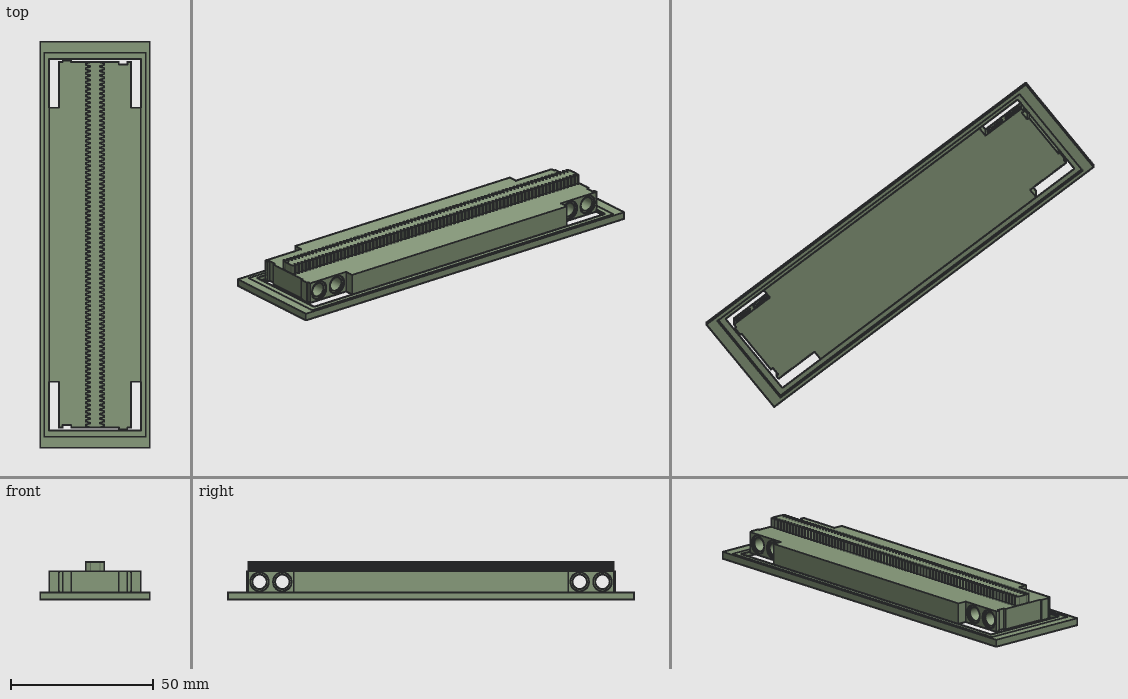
import cadquery as cq
FRAME_WIDTH = 38.4
FRAME_LENGTH = 142.2
FRAME_THICKNESS = 2.5
OPENING_WIDTH = 32.1
OPENING_LENGTH = 130.0
UNDERCUT_WIDTH = 35.7
UNDERCUT_LENGTH = 134.5
LIP_THICKNESS = 0.1

BLOCK_WIDTH = OPENING_WIDTH
BLOCK_LENGTH = 128.0
BLOCK_HEIGHT = 7.5
BLOCK_MID_HEIGHT = 6.3
BLOCK_BASE = BLOCK_MID_HEIGHT - BLOCK_HEIGHT / 2
BLOCK_TOP = BLOCK_MID_HEIGHT + BLOCK_HEIGHT / 2
MIDDLE_LENGTH = 96.0
NECK_WIDTH = 25.3

KEY_WIDTH = 3.0
KEY_OFFSET = 9.8
TAB_DEPTH = 0.5
NOTCH_DEPTH = 0.9

HOLE_DIAMETER = 5.0
COUNTERBORE_DIAMETER = 6.5
COUNTERBORE_DEPTH = 0.7
HOLE_CENTERS_FROM_END = (4.0, 12.0)

OVERALL_HEIGHT = 13.2
RACK_HEIGHT = OVERALL_HEIGHT - BLOCK_TOP
RACK_WIDTH = 6.5
RACK_CORE_WIDTH = 3.3
TOOTH_DEPTH = (RACK_WIDTH - RACK_CORE_WIDTH) / 2
TOOTH_COUNT = 81
TOOTH_PITCH = BLOCK_LENGTH / TOOTH_COUNT
TOOTH_TIP = 0.47
TOOTH_FLANK = 0.45
TOOTH_ROOT = TOOTH_PITCH - TOOTH_TIP - 2 * TOOTH_FLANK


def box(width, length, height, x=0.0, y=0.0, z=0.0):
    """Box centred on (x, y) that stands on height z."""
    return cq.Workplane("XY").box(width, length, height, centered=(True, True, False)).translate((x, y, z))


def make_frame():
    plate = box(FRAME_WIDTH, FRAME_LENGTH, FRAME_THICKNESS)
    opening = box(OPENING_WIDTH, OPENING_LENGTH, FRAME_THICKNESS)
    undercut = box(UNDERCUT_WIDTH, UNDERCUT_LENGTH, FRAME_THICKNESS - LIP_THICKNESS)
    return plate.cut(opening).cut(undercut)


def make_block_body():
    middle = box(BLOCK_WIDTH, MIDDLE_LENGTH, BLOCK_HEIGHT, z=BLOCK_BASE)
    necks = box(NECK_WIDTH, BLOCK_LENGTH, BLOCK_HEIGHT, z=BLOCK_BASE)
    return middle.union(necks)


def add_end_keys(body):
    """Each end has a tab on one side and a notch on the other, swapped between the ends."""
    for end in (-1, 1):
        end_face = end * BLOCK_LENGTH / 2
        tab = box(KEY_WIDTH, 2 * TAB_DEPTH, BLOCK_HEIGHT, x=-end * KEY_OFFSET, y=end_face, z=BLOCK_BASE)
        notch = box(KEY_WIDTH, 2 * NOTCH_DEPTH, BLOCK_HEIGHT, x=end * KEY_OFFSET, y=end_face, z=BLOCK_BASE)
        body = body.union(tab).cut(notch)
    return body


def cross_cylinder(diameter, x_start, length, y):
    """Cylinder along +X at the height of the cross holes."""
    return cq.Workplane("YZ", origin=(x_start, y, BLOCK_MID_HEIGHT)).circle(diameter / 2).extrude(length)


def cut_cross_holes(body):
    for end in (-1, 1):
        for distance in HOLE_CENTERS_FROM_END:
            y = end * (BLOCK_LENGTH / 2 - distance)
            body = body.cut(cross_cylinder(HOLE_DIAMETER, -NECK_WIDTH / 2, NECK_WIDTH, y))
            for face_x in (-NECK_WIDTH / 2, NECK_WIDTH / 2 - COUNTERBORE_DEPTH):
                body = body.cut(cross_cylinder(COUNTERBORE_DIAMETER, face_x, COUNTERBORE_DEPTH, y))
    return body


def make_rack():
    """Bar with the same trapezoidal teeth on its -X and +X sides."""
    tip_x = RACK_WIDTH / 2
    root_x = tip_x - TOOTH_DEPTH
    right_edge = []
    for tooth in range(TOOTH_COUNT):
        start = -BLOCK_LENGTH / 2 + tooth * TOOTH_PITCH + TOOTH_ROOT / 2
        right_edge += [
            (root_x, start),
            (tip_x, start + TOOTH_FLANK),
            (tip_x, start + TOOTH_FLANK + TOOTH_TIP),
            (root_x, start + 2 * TOOTH_FLANK + TOOTH_TIP),
        ]
    left_edge = [(-x, y) for x, y in reversed(right_edge)]
    return cq.Workplane("XY", origin=(0, 0, BLOCK_TOP)).polyline(right_edge + left_edge).close().extrude(RACK_HEIGHT)


def make_rack_block():
    body = make_block_body()
    body = add_end_keys(body)
    body = cut_cross_holes(body)
    return body.union(make_rack())


frame = make_frame()
rack_block = make_rack_block()

result = cq.Compound.makeCompound([frame.solids().val(), rack_block.solids().val()])